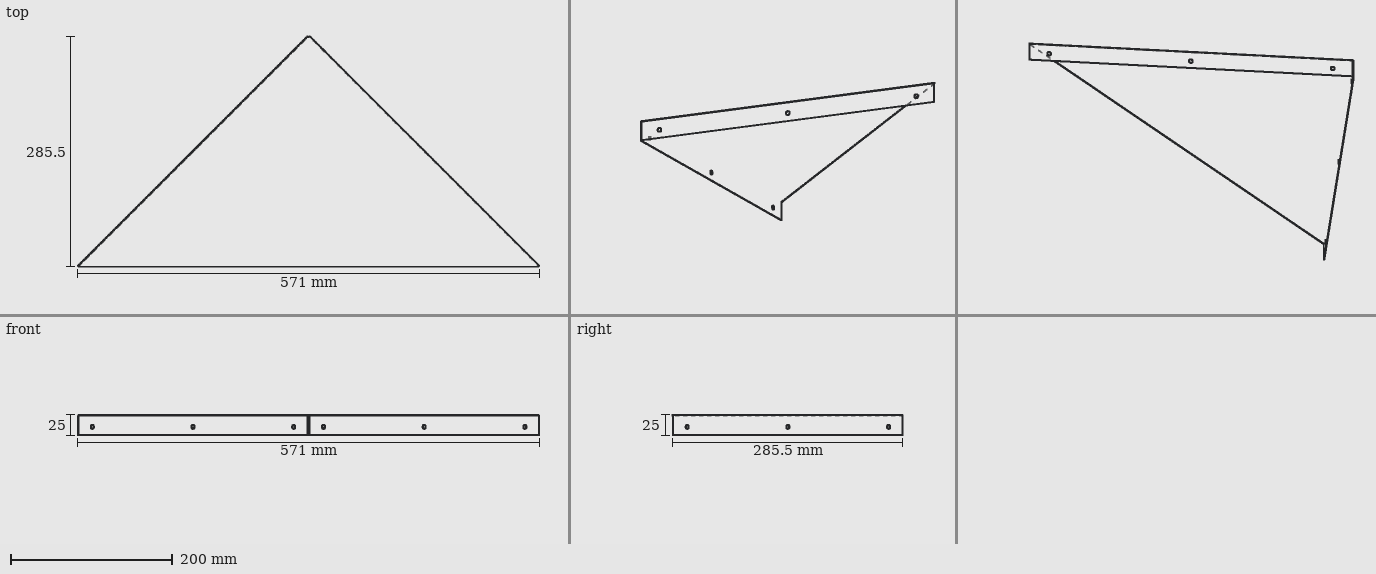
import cadquery as cq
import math

long_side = 571.0
total_height = 25.0
sheet_thickness = 1.0
inner_bend_radius = 1.0
hole_diameter = 5.0
hole_end_distance = 24.5
hole_height = 10.0

outer_bend_radius = inner_bend_radius + sheet_thickness
leg_angle = 45
bend_projection = outer_bend_radius * math.sin(math.radians(leg_angle))
plate_half_side = long_side / 2 - bend_projection
leg_length = plate_half_side / math.cos(math.radians(leg_angle))


def make_plate():
    """Flat right isosceles triangle bounded by the bend lines."""
    return (
        cq.Workplane("XY")
        .workplane(offset=total_height - sheet_thickness)
        .polyline([(-plate_half_side, 0), (plate_half_side, 0), (0, plate_half_side)])
        .close()
        .extrude(sheet_thickness)
    )


def make_left_flange():
    """Bend and downturned strip with three holes along the left leg."""
    bend_center_z = total_height - outer_bend_radius
    diagonal = math.sqrt(0.5)
    flange = (
        cq.Workplane("YZ")
        .moveTo(0, total_height)
        .threePointArc(
            (outer_bend_radius * diagonal, bend_center_z + outer_bend_radius * diagonal),
            (outer_bend_radius, bend_center_z),
        )
        .lineTo(outer_bend_radius, 0)
        .lineTo(inner_bend_radius, 0)
        .lineTo(inner_bend_radius, bend_center_z)
        .threePointArc(
            (inner_bend_radius * diagonal, bend_center_z + inner_bend_radius * diagonal),
            (0, total_height - sheet_thickness),
        )
        .close()
        .extrude(leg_length)
    )
    hole_positions = [
        (hole_end_distance, hole_height),
        (leg_length / 2, hole_height),
        (leg_length - hole_end_distance, hole_height),
    ]
    holes = (
        cq.Workplane("XZ")
        .pushPoints(hole_positions)
        .circle(hole_diameter / 2)
        .extrude(-outer_bend_radius)
    )
    return (
        flange.cut(holes)
        .rotate((0, 0, 0), (0, 0, 1), leg_angle)
        .translate((-plate_half_side, 0, 0))
    )


left_flange = make_left_flange()
right_flange = left_flange.mirror("YZ")

result = make_plate().union(left_flange).union(right_flange)